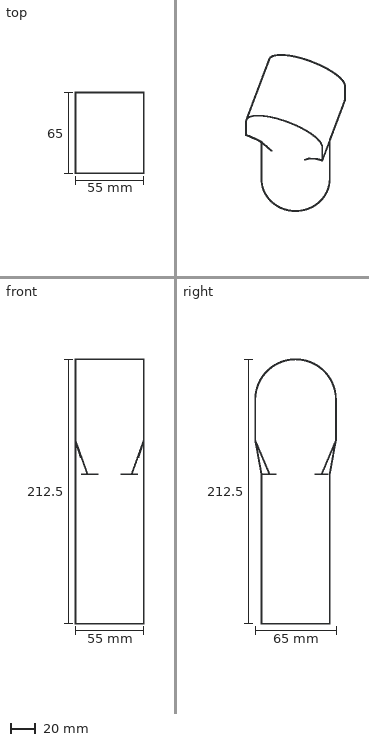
import cadquery as cq

total_height = 212.5
shank_diameter = 55.0
shank_height = 120.3
neck_height = 27.2

head_thickness = shank_diameter
head_width = 65.0
head_radius = head_width / 2
head_base_z = shank_height + neck_height
head_center_z = total_height - head_radius


def make_shank():
    """Round shank standing on the XY plane."""
    return cq.Workplane("XY").circle(shank_diameter / 2).extrude(shank_height)


def make_neck():
    """Transition from the round shank to the rectangular base of the head."""
    return (
        cq.Workplane("XY", origin=(0, 0, shank_height))
        .circle(shank_diameter / 2)
        .workplane(offset=neck_height)
        .rect(head_thickness, head_width)
        .loft()
    )


def make_head():
    """Flat-sided head with a half-round top, extruded along X."""
    return (
        cq.Workplane("YZ")
        .moveTo(-head_radius, head_base_z)
        .lineTo(head_radius, head_base_z)
        .lineTo(head_radius, head_center_z)
        .threePointArc((0, total_height), (-head_radius, head_center_z))
        .close()
        .extrude(head_thickness / 2, both=True)
    )


result = make_shank().union(make_neck()).union(make_head())